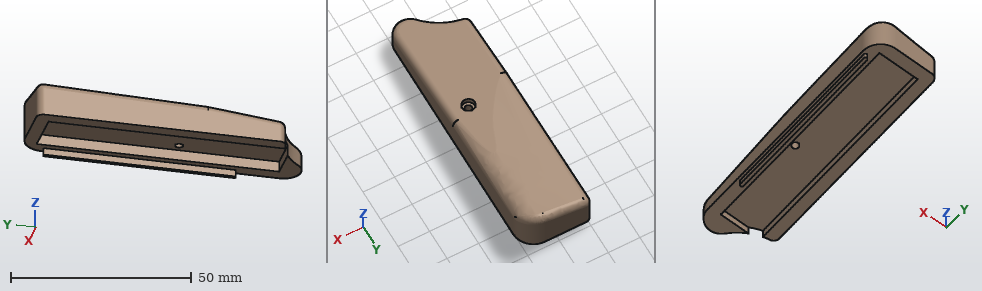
import cadquery as cq
import math

LENGTH = 79.15
WIDTH = 21.5
BLANK_HEIGHT = 19.8

CORNER_RADIUS = 2.0
BACK_RIGHT_RADIUS = 6.5
NOSE_RADIUS = 5.0
NOSE_BLEND_ANGLE = math.radians(220)
FRONT_LEFT_Y = 8.4

EDGE_FILLET = 2.0
SLOPE_START_HEIGHT = 5.9
SLOPE = 0.102
RIDGE_START_X = 16.2
FLANK_STEPS = 5
BACK_LEFT_HEIGHT = 10.0
BACK_RIDGE_HEIGHT = 12.8
BACK_RIGHT_HEIGHT = 9.6
BACK_SHOULDER = (19.8, 12.1)
FRONT_LEFT_HEIGHT = 8.2
FRONT_RIDGE_HEIGHT = 8.3
FRONT_RIGHT_HEIGHT = 7.8
FRONT_SHOULDER = (19.15, 8.3)

LOWEST_TOP_EDGE = 3.95
UPRIGHT_LIMIT = 0.9

SCREW_X = 14.9
SCREW_Y = 35.2
SCREW_DIAMETER = 2.2
HEAD_DIAMETER = 4.0
HEAD_DEPTH = 2.0

POCKET_LEFT = 3.9
POCKET_FRONT = 6.0
POCKET_MARGIN = 3.95
POCKET_HEIGHT = 3.1

RIB_WIDTH = 1.1
RIB_LEFT = 19.55
RIB_FRONT = 17.7
RIB_BACK = 72.7
RIB_DEPTH = 2.0


def blank():
    """Upright prism of the plan outline with its vertical corners rounded."""
    nose_x = WIDTH - NOSE_RADIUS
    blend_x = nose_x + NOSE_RADIUS * math.cos(NOSE_BLEND_ANGLE)
    blend_y = NOSE_RADIUS + NOSE_RADIUS * math.sin(NOSE_BLEND_ANGLE)
    outline = (
        cq.Workplane("XY")
        .moveTo(0, LENGTH)
        .lineTo(WIDTH, LENGTH)
        .lineTo(WIDTH, NOSE_RADIUS)
        .tangentArcPoint((nose_x, 0), relative=False)
        .tangentArcPoint((blend_x, blend_y), relative=False)
        .tangentArcPoint((0, FRONT_LEFT_Y), relative=False)
        .close()
    )
    prism = outline.extrude(BLANK_HEIGHT)
    prism = prism.edges("|Z and <X").fillet(CORNER_RADIUS)
    back_right = cq.selectors.NearestToPointSelector((WIDTH, LENGTH, BLANK_HEIGHT / 2))
    return prism.edges(back_right).fillet(BACK_RIGHT_RADIUS)


def slope_height(y):
    return SLOPE_START_HEIGHT + SLOPE * y


def below_slope():
    """Everything under the plane that rises evenly towards the back."""
    back_height = slope_height(LENGTH)
    profile = [(0, 0), (LENGTH, 0), (LENGTH, back_height), (0, SLOPE_START_HEIGHT)]
    return cq.Workplane("YZ").polyline(profile).close().extrude(WIDTH)


def crown_profile(y, left_height, ridge_height, shoulder, right_height):
    """Cross-section at y: a straight rise to the ridge, then a curve over the shoulder to the right side."""
    base_left = cq.Vector(0, y, 0)
    base_right = cq.Vector(WIDTH, y, 0)
    left = cq.Vector(0, y, left_height)
    ridge = cq.Vector(RIDGE_START_X, y, ridge_height)
    flank = [left + (ridge - left) * (step / FLANK_STEPS) for step in range(FLANK_STEPS)]
    shoulder_point = cq.Vector(shoulder[0], y, shoulder[1])
    right = cq.Vector(WIDTH, y, right_height)
    return cq.Wire.assembleEdges(
        [
            cq.Edge.makeLine(base_left, left),
            cq.Edge.makeSpline(flank + [ridge, shoulder_point, right]),
            cq.Edge.makeLine(right, base_right),
            cq.Edge.makeLine(base_right, base_left),
        ]
    )


def below_crown():
    """Everything under the twisted, ridged surface that forms the rear of the top."""
    front = crown_profile(0, FRONT_LEFT_HEIGHT, FRONT_RIDGE_HEIGHT, FRONT_SHOULDER, FRONT_RIGHT_HEIGHT)
    back = crown_profile(LENGTH, BACK_LEFT_HEIGHT, BACK_RIDGE_HEIGHT, BACK_SHOULDER, BACK_RIGHT_HEIGHT)
    return cq.Workplane(cq.Solid.makeLoft([front, back], True))


def is_top_edge(edge):
    """True for the top rim and the seam between the two top surfaces."""
    is_upright = abs(edge.tangentAt(0.5).z) > UPRIGHT_LIMIT
    return edge.Center().z > LOWEST_TOP_EDGE and not is_upright


def rounded_body():
    body = blank().intersect(below_slope()).intersect(below_crown())
    top_edges = [edge for edge in body.edges().vals() if is_top_edge(edge)]
    return body.newObject(top_edges).fillet(EDGE_FILLET)


def screw_hole():
    """Through hole with a counterbore whose depth is measured where its axis meets the slope."""
    seat_z = slope_height(SCREW_Y) - HEAD_DEPTH
    axis = cq.Workplane("XY").center(SCREW_X, SCREW_Y)
    shank = axis.circle(SCREW_DIAMETER / 2).extrude(BLANK_HEIGHT)
    head = axis.workplane(offset=seat_z).circle(HEAD_DIAMETER / 2).extrude(BLANK_HEIGHT - seat_z)
    return shank.union(head)


def pocket():
    """Shallow recess in the underside; its front left end breaks out through the curved wall."""
    width = WIDTH - POCKET_MARGIN - POCKET_LEFT
    length = LENGTH - POCKET_MARGIN - POCKET_FRONT
    block = cq.Workplane("XY").box(width, length, POCKET_HEIGHT, centered=False)
    return block.translate((POCKET_LEFT, POCKET_FRONT, 0))


def rib():
    """Round-ended tongue standing down from the rim of the underside."""
    middle = (RIB_LEFT + RIB_WIDTH / 2, (RIB_FRONT + RIB_BACK) / 2)
    return (
        cq.Workplane("XY")
        .center(*middle)
        .slot2D(RIB_BACK - RIB_FRONT, RIB_WIDTH, 90)
        .extrude(-RIB_DEPTH)
    )


result = rounded_body().cut(screw_hole()).cut(pocket()).union(rib())